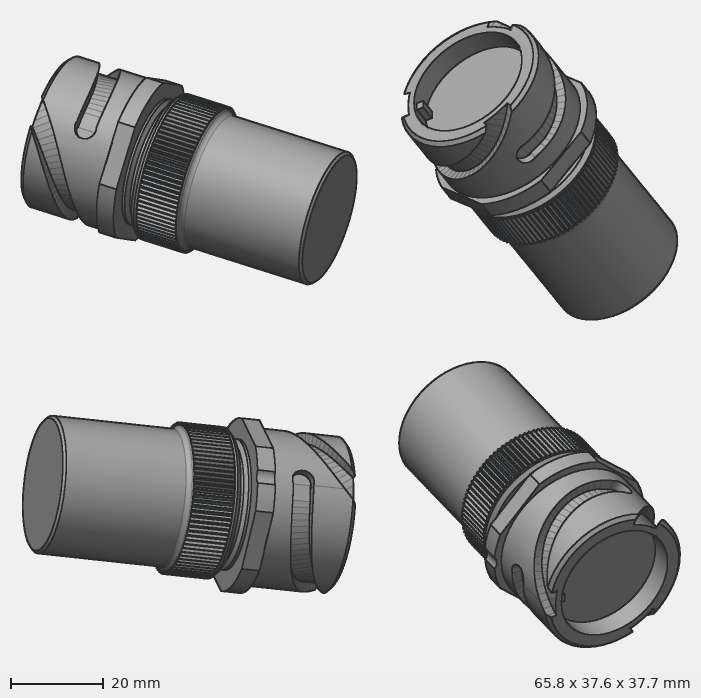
import cadquery as cq
import math


total_length = 65.8
face_chamfer = 0.85
shell_radius = 17.1
flange_start = 19.0
flange_end = 23.05
ring_end = 23.6
ring_radius = 14.3
neck_start = 24.4
neck_end = 25.1
neck_radius = 13.2
nut_start = 25.8
nut_recess_radius = 14.15
nut_radius = 16.5
nut_chamfer = 1.0
knurl_start = 27.4
knurl_end = 36.6
nut_end = 36.9
nut_end_radius = 15.7
nut_end_chamfer = 0.3
blend_middle = (37.45, 15.2)
sleeve_start = 38.1
sleeve_radius = 15.0
tail_chamfer = 0.6

flange_diameter = 37.7
flange_radius = flange_diameter / 2
flange_flat_distance = 17.5
notch_radius = 2.2
notch_depth = 0.65

socket_radius = 13.4
socket_depth = 5.15
key_width = 2.0
key_height = 1.6
key_recess = 1.25

tooth_count = 90
tooth_depth = 0.6
tip_fraction = 0.15

track_count = 3
track_width = 4.6
track_floor_radius = 14.9
track_clear_radius = shell_radius + 2.0
seat_x = 12.1
seat_diameter = 4.9
seat_angle = 32.7
seat_straight_sweep = 14.0
track_bend_radius = 48.7
track_bend_angle = 47.0
track_facets = 25


def build_body():
    front_outline = [
        (0, shell_radius - face_chamfer),
        (face_chamfer, shell_radius),
        (flange_end, shell_radius),
        (flange_end, ring_radius),
        (ring_end, ring_radius),
        (neck_start, neck_radius),
        (neck_end, neck_radius),
        (nut_start, nut_recess_radius),
        (nut_start, nut_radius - nut_chamfer),
        (nut_start + nut_chamfer, nut_radius),
        (knurl_end, nut_radius),
        (knurl_end, nut_end_radius + nut_end_chamfer),
        (nut_end, nut_end_radius),
    ]
    profile = (
        cq.Workplane("XY")
        .polyline([(0, 0)] + front_outline)
        .threePointArc(blend_middle, (sleeve_start, sleeve_radius))
        .lineTo(total_length - tail_chamfer, sleeve_radius)
        .lineTo(total_length, sleeve_radius - tail_chamfer)
        .lineTo(total_length, 0)
        .close()
    )
    return profile.revolve(360, (0, 0, 0), (1, 0, 0))


def build_flange():
    """Round flange with four diagonal flats and an alignment notch on +Y."""
    thickness = flange_end - flange_start
    plane = cq.Workplane("YZ", origin=(flange_start, 0, 0))
    disc = plane.circle(flange_radius).extrude(thickness)
    width = 2 * flange_flat_distance
    square = plane.rect(width, width).extrude(thickness).rotate((0, 0, 0), (1, 0, 0), 45)
    notch_centre = flange_radius - notch_depth + notch_radius
    notch = plane.center(notch_centre, 0).circle(notch_radius).extrude(thickness)
    return disc.intersect(square).cut(notch)


def build_socket():
    """Round socket in the mating face, less the key left standing on its +Y wall."""
    socket = cq.Workplane("YZ").circle(socket_radius).extrude(socket_depth)
    key = cq.Workplane("XY").box(
        socket_depth - key_recess, 2 * key_height, key_width, centered=(False, True, True)
    )
    return socket.cut(key.translate((key_recess, socket_radius, 0)))


def build_knurl():
    """Ring of V-shaped gaps between the flat-topped grip teeth."""
    pitch = 2 * math.pi / tooth_count
    root_radius = nut_radius - tooth_depth
    half_tip = tip_fraction * pitch / 2
    outline = []
    for tooth in range(tooth_count):
        middle = tooth * pitch
        for radius, angle in (
            (nut_radius, middle - half_tip),
            (nut_radius, middle + half_tip),
            (root_radius, middle + pitch / 2),
        ):
            outline.append((radius * math.cos(angle), radius * math.sin(angle)))
    plane = cq.Workplane("YZ", origin=(knurl_start, 0, 0))
    length = knurl_end - knurl_start
    teeth = plane.polyline(outline).close().extrude(length)
    return plane.circle(nut_radius + tooth_depth).extrude(length).cut(teeth)


def track_section(x, angle, heading):
    """Rectangle across the track, square to a path inclined by heading from the circumference."""
    turn = math.radians(angle)
    radial = cq.Vector(0, -math.sin(turn), math.cos(turn))
    around = cq.Vector(0, -math.cos(turn), -math.sin(turn))
    across = cq.Vector(math.cos(heading), 0, 0) - around * math.sin(heading)
    half = across * (track_width / 2)
    floor = cq.Vector(x, 0, 0) + radial * track_floor_radius
    top = cq.Vector(x, 0, 0) + radial * track_clear_radius
    return cq.Wire.makePolygon([floor - half, floor + half, top + half, top - half], close=True)


def build_track():
    """Flat-floored cam track: seat, straight stretch, then an arc bending out through the face.

    The arc is circular on the shell surface laid flat.
    """
    bend_start = seat_angle - seat_straight_sweep
    sections = [track_section(seat_x, seat_angle, 0)]
    for step in range(track_facets + 1):
        heading = math.radians(track_bend_angle * step / track_facets)
        x = seat_x - track_bend_radius * (1 - math.cos(heading))
        sweep = math.degrees(track_bend_radius * math.sin(heading) / shell_radius)
        sections.append(track_section(x, bend_start - sweep, heading))
    track = cq.Workplane(cq.Solid.makeLoft(sections, True))
    seat = (
        cq.Workplane("XY", origin=(seat_x, 0, track_floor_radius))
        .circle(seat_diameter / 2)
        .extrude(track_clear_radius - track_floor_radius)
        .rotate((0, 0, 0), (1, 0, 0), seat_angle)
    )
    return track.union(seat)


result = build_body().union(build_flange()).cut(build_socket()).cut(build_knurl())
track = build_track()
for index in range(track_count):
    result = result.cut(track.rotate((0, 0, 0), (1, 0, 0), index * 360 / track_count))